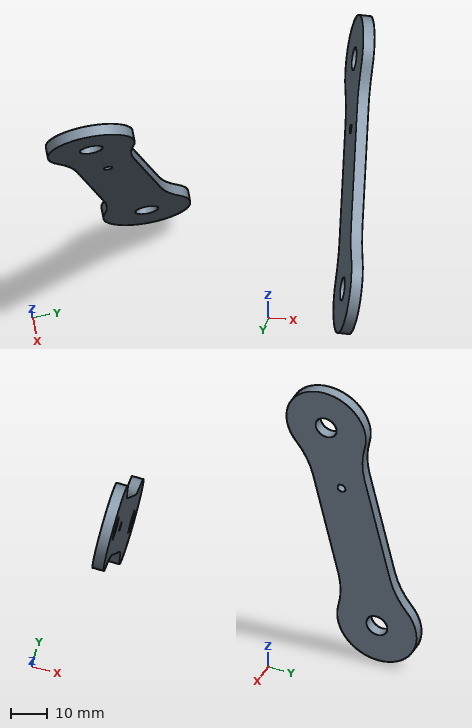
import cadquery as cq
import math

thickness = 3.175
eye_radius = 12.125
eye_spacing = 66.21
bar_width = 16.17
blend_radius = 2 * eye_radius
tilt_angle = 13.5

pivot_hole_diameter = 6.35
small_hole_diameter = 2.38
small_hole_offset = 20.2

bar_half = bar_width / 2
blend_center_side = bar_half + blend_radius
blend_length = math.sqrt((eye_radius + blend_radius) ** 2 - blend_center_side**2)
eye_share = eye_radius / (eye_radius + blend_radius)
eye_tangent_side = blend_center_side * eye_share
eye_tangent_length = blend_length * eye_share

blend_sweep = math.atan2(blend_length, blend_center_side)
blend_mid_side = blend_center_side - blend_radius * math.cos(blend_sweep / 2)
blend_mid_length = blend_length - blend_radius * math.sin(blend_sweep / 2)


def make_plate():
    """Upright link with the lower eye centred on the origin."""
    top = eye_spacing
    return (
        cq.Workplane("YZ")
        .moveTo(eye_tangent_side, eye_tangent_length)
        .threePointArc((blend_mid_side, blend_mid_length), (bar_half, blend_length))
        .lineTo(bar_half, top - blend_length)
        .threePointArc(
            (blend_mid_side, top - blend_mid_length),
            (eye_tangent_side, top - eye_tangent_length),
        )
        .threePointArc((0, top + eye_radius), (-eye_tangent_side, top - eye_tangent_length))
        .threePointArc((-blend_mid_side, top - blend_mid_length), (-bar_half, top - blend_length))
        .lineTo(-bar_half, blend_length)
        .threePointArc((-blend_mid_side, blend_mid_length), (-eye_tangent_side, eye_tangent_length))
        .threePointArc((0, -eye_radius), (eye_tangent_side, eye_tangent_length))
        .close()
        .extrude(thickness)
    )


def make_holes(diameter, heights):
    """Through-hole cutters on the link's centreline at the given heights."""
    centers = [(0, height) for height in heights]
    return cq.Workplane("YZ").pushPoints(centers).circle(diameter / 2).extrude(thickness)


pivot_holes = make_holes(pivot_hole_diameter, [0, eye_spacing])
small_hole = make_holes(small_hole_diameter, [eye_spacing - small_hole_offset])

upright_link = make_plate().cut(pivot_holes).cut(small_hole)
result = upright_link.rotate((0, 0, 0), (1, 0, 0), tilt_angle)